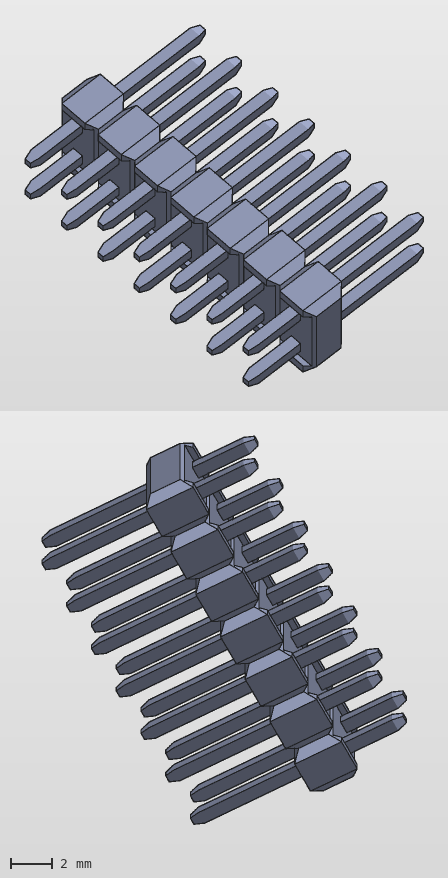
import cadquery as cq

row_length = 17.78
columns = 7
pitch = row_length / columns
body_depth = pitch
body_height = 5.03
side_chamfer = 0.46

channel_depth = 0.3
lip_height = 0.52
channel_height = body_height - 2 * lip_height

pin_width = 0.64
tip_width = 0.37
tip_length = 0.52
front_reach = 3.0
back_reach = 6.0

front_face_y = -body_depth / 2
pin_front_y = front_face_y - front_reach
pin_back_y = body_depth / 2 + back_reach

column_positions = [(i - (columns - 1) / 2) * pitch for i in range(columns)]
row_positions = [-pitch / 2, pitch / 2]


def make_block():
    """One housing block, chamfered around both side faces, with its channel."""
    block = cq.Workplane("XY").box(pitch, body_depth, body_height)
    block = block.faces("<X or >X").edges().chamfer(side_chamfer)
    channel = cq.Workplane("XY").box(pitch, 2 * channel_depth, channel_height)
    return block.cut(channel.translate((0, front_face_y, 0)))


def make_tip(end_y, direction):
    """Tapered pin end that narrows towards end_y; direction is the sign of Y outwards."""
    base_y = end_y - direction * tip_length
    plane = cq.Plane(origin=(0, base_y, 0), xDir=(1, 0, 0), normal=(0, direction, 0))
    return (
        cq.Workplane(plane)
        .rect(pin_width, pin_width)
        .workplane(offset=tip_length)
        .rect(tip_width, tip_width)
        .loft(ruled=True)
    )


def make_pin():
    """One pin along Y, centred on X and Z."""
    shank_length = pin_back_y - pin_front_y - 2 * tip_length
    shank_center_y = (pin_back_y + pin_front_y) / 2
    shank = cq.Workplane("XY").box(pin_width, shank_length, pin_width)
    shank = shank.translate((0, shank_center_y, 0))
    return shank.union(make_tip(pin_front_y, -1)).union(make_tip(pin_back_y, 1))


block = make_block()
pin = make_pin()

result = cq.Workplane("XY")
for x in column_positions:
    result = result.union(block.translate((x, 0, 0)))
for x in column_positions:
    for z in row_positions:
        result = result.union(pin.translate((x, 0, z)))